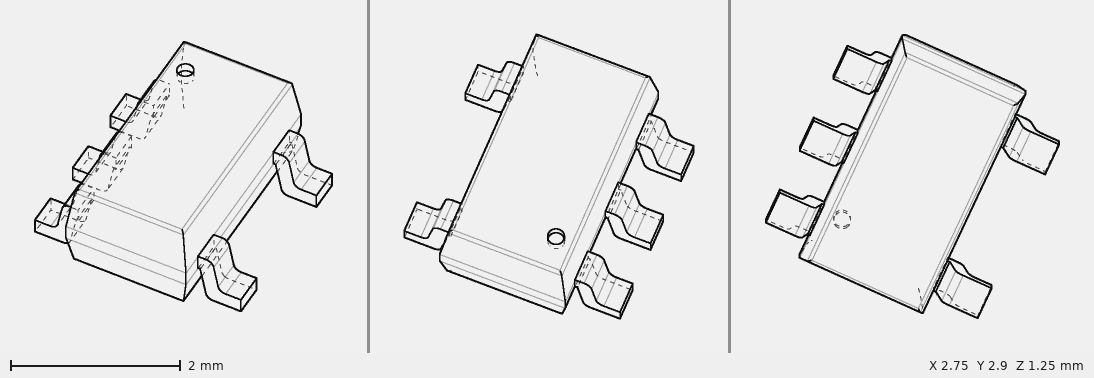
import cadquery as cq
import math

housing_width = 1.6
housing_length = 2.9
housing_bottom = 0.05
housing_top = 1.25
upper_draft = 8.0
lower_draft = 10.0
housing_edge_radius = 0.044

span = 2.75
lead_thickness = 0.2
lead_width = 0.397
lead_pitch = 0.95
lead_top = 0.665
shoulder_reach = 0.195
leg_angle = 11.0
bend_radius = 0.1

dimple_diameter = 0.2
dimple_depth = 0.12
dimple_x = -0.478
dimple_y = lead_pitch

belt_bottom = lead_top - lead_thickness


def tapered_block(start_z, height, draft):
    """Rectangular block that narrows along Z away from the belt."""
    return (
        cq.Workplane("XY", origin=(0, 0, start_z))
        .rect(housing_width, housing_length)
        .extrude(height, taper=draft)
    )


def make_housing():
    belt = (
        cq.Workplane("XY", origin=(0, 0, belt_bottom))
        .rect(housing_width, housing_length)
        .extrude(lead_thickness)
    )
    upper = tapered_block(lead_top, housing_top - lead_top, upper_draft)
    upper = upper.faces(">Z").edges().fillet(housing_edge_radius)
    lower = tapered_block(belt_bottom, housing_bottom - belt_bottom, lower_draft)
    lower = lower.faces("<Z").edges().fillet(housing_edge_radius)
    dimple = (
        cq.Workplane("XY", origin=(dimple_x, dimple_y, housing_top))
        .circle(dimple_diameter / 2)
        .extrude(-dimple_depth)
    )
    return belt.union(upper).union(lower).cut(dimple)


def make_lead(side, y_center):
    """Gull-wing lead; side is -1 for the -X row and 1 for the +X row."""
    slope = math.tan(math.radians(leg_angle))
    root_x = housing_width / 2
    foot_end = span / 2
    outer_top_x = root_x + shoulder_reach
    inner_top_x = outer_top_x - lead_thickness / math.cos(math.radians(leg_angle))
    outline = [
        (root_x, lead_top),
        (outer_top_x, lead_top),
        (outer_top_x + (lead_top - lead_thickness) * slope, lead_thickness),
        (foot_end, lead_thickness),
        (foot_end, 0),
        (inner_top_x + lead_top * slope, 0),
        (inner_top_x + lead_thickness * slope, belt_bottom),
        (root_x, belt_bottom),
    ]
    shoulder_corner, instep_corner, heel_corner = outline[1], outline[2], outline[5]
    lead = (
        cq.Workplane("XZ", origin=(0, y_center + lead_width / 2, 0))
        .polyline([(side * x, z) for x, z in outline])
        .close()
        .extrude(lead_width)
    )
    for x, z in (shoulder_corner, instep_corner, heel_corner):
        bend_edge = cq.selectors.NearestToPointSelector((side * x, y_center, z))
        lead = lead.edges("|Y").edges(bend_edge).fillet(bend_radius)
    return lead


housing = make_housing()

lead_places = [(-1, -1), (-1, 0), (-1, 1), (1, -1), (1, 1)]
leads = [make_lead(side, row * lead_pitch) for side, row in lead_places]

result = cq.Compound.makeCompound([housing.val(), *[lead.val() for lead in leads]])